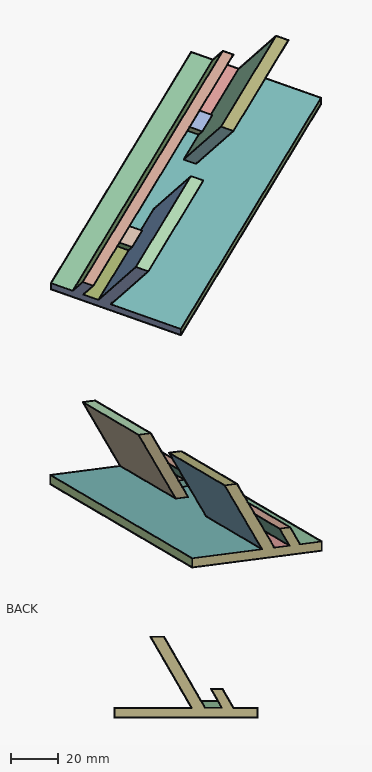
import cadquery as cq
import math

base_width = 60.0
length = 140.0
base_thickness = 4.0
total_height = 34.0

lean_angle = 30.0
lip_foot_x = 10.1
lip_width = 4.9
lip_height = 8.0
support_foot_x = 22.0
support_width = 5.7
support_height = total_height - base_thickness

gap_length = 30.0

block_length = 10.0
block_height = 3.0
block_offset = length / 4


def leaning_bar(foot_x, width, height, bar_length, center_y):
    """Bar along Y standing on the base, with a parallelogram section leaning toward +X."""
    shift = height * math.tan(math.radians(lean_angle))
    section = [
        (foot_x, base_thickness),
        (foot_x + width, base_thickness),
        (foot_x + width + shift, base_thickness + height),
        (foot_x + shift, base_thickness + height),
    ]
    bar = cq.Workplane("XZ").polyline(section).close().extrude(bar_length / 2, both=True)
    return bar.translate((0, center_y, 0))


base = cq.Workplane("XY").box(base_width, length, base_thickness, centered=(False, True, False))
lip = leaning_bar(lip_foot_x, lip_width, lip_height, length, 0)
result = base.union(lip)

panel_length = (length - gap_length) / 2
panel_offset = (length - panel_length) / 2
channel_start_x = lip_foot_x + lip_width
channel_width = support_foot_x - channel_start_x

for side in (-1, 1):
    panel = leaning_bar(
        support_foot_x, support_width, support_height, panel_length, side * panel_offset
    )
    block = leaning_bar(
        channel_start_x, channel_width, block_height, block_length, side * block_offset
    )
    result = result.union(panel).union(block)